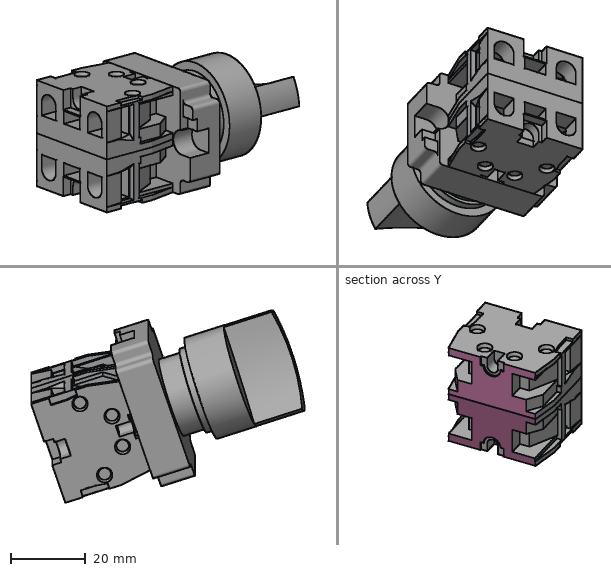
import cadquery as cq
import math


flange_depth = 10.45
neck_end = 16.6
washer_end = 18.8
collar_end = 29.95
handle_tip = 44.85
neck_radius = 10.8
washer_radius = 11.85
collar_radius = 14.3

flange_width = 40.0
flange_height = 30.0
flange_middle_width = 32.0
ear_height = 21.2
flange_fillet = 1.05

ear_slot_radius = 3.45
ear_slot_depth = 6.5
ear_slot_center = 16.55
latch_deep = 2.5
latch_shallow = 1.0
latch_split = 7.0

handle_setback = 0.1
handle_radius = collar_radius - handle_setback
handle_half_thickness = 4.1
handle_hollow = 1.5
handle_crown = 1.5
handle_turn = 17.5

block_offset = -0.2
block_width = 29.1
block_height = flange_height / 2
block_length = 24.45
block_taper_width = 26.1
block_taper_length = 8.6
half_width = block_width / 2
overcut = 0.7

pocket_length = 13.0
pocket_floor = 1.8
pocket_ledge = 5.55
pocket_roof = 12.5
pocket_bend = 4.65
core_inset = 1.25
lower_inset = 4.45
upper_inset = 5.4
upper_deep_inset = 8.3
pocket_lip_height = 1.9
pocket_lip_depth = 0.4
side_roof = 13.5

window_start = 15.05
window_frame = 0.4
window_end = 18.9
window_floor = 4.7
window_roof = 13.0
window_inset = 1.6
rear_inset = 0.55
window_ramp_drop = 1.4
window_ramp_length = 5.35

edge_notch_depth = 0.8
edge_notch_start = 12.0
edge_notch_end = 19.5
edge_notch_front = 1.6
edge_notch_rear = 2.0

wire_spacing = 19.0
wire_radius = 3.0
wire_center = 9.1
wire_floor = 5.55
slot_width = 6.5
slot_height = 3.6

notch_width = 6.9
notch_floor = 9.5
notch_length = 2.55
channel_radius = 2.5
channel_center = 12.4
flange_notch_length = 0.8
flange_channel_radius = 1.6
flange_channel_length = 4.85

screw_top_radius = 2.1
screw_bottom_radius = 1.65
screw_depth = 1.1
screw_front = (4.5, -4.9)
screw_rear = (10.45, -12.0)


def box(x_range, y_range, z_range):
    """Box between two X, two Y and two Z values."""
    size = [high - low for low, high in (x_range, y_range, z_range)]
    corner = (x_range[0], y_range[0], z_range[0])
    return cq.Workplane("XY").box(*size, centered=False).translate(corner)


def prism(outline, bottom, top):
    """Prism over an XY outline between two heights."""
    return cq.Workplane("XY").workplane(offset=bottom).polyline(outline).close().extrude(top - bottom)


def disc(radius, start, end):
    """Cylinder along Y between two Y values."""
    return cq.Workplane("XZ", origin=(0, start, 0)).circle(radius).extrude(start - end)


def make_flange():
    half_ear = flange_width / 2
    half_middle = flange_middle_width / 2
    middle = box((-half_middle, half_middle), (0, flange_depth), (-flange_height / 2, flange_height / 2))
    ears = box((-half_ear, half_ear), (0, flange_depth), (-ear_height / 2, ear_height / 2))
    flange = middle.union(ears).edges("|Y").fillet(flange_fillet)

    slot = disc(ear_slot_radius, 0, ear_slot_depth).translate((-ear_slot_center, 0, 0))
    slot = slot.union(
        box((-half_ear, -ear_slot_center), (0, ear_slot_depth), (-ear_slot_radius, ear_slot_radius))
    )
    latch = box((-half_ear, -half_middle), (0, latch_deep), (-latch_split, -ear_slot_radius))
    latch = latch.union(
        box((-half_ear, -half_middle), (0, latch_shallow), (-ear_height / 2 - flange_fillet, -latch_split))
    )
    ear_cut = slot.union(latch)
    for turn in (0, 180):
        flange = flange.cut(ear_cut.rotate((0, 0, 0), (0, 1, 0), turn))
    return flange


def make_handle():
    half_chord = math.sqrt(handle_radius**2 - handle_half_thickness**2)
    waist = handle_half_thickness - handle_hollow
    bar = (
        cq.Workplane("XZ", origin=(0, collar_end, 0))
        .moveTo(-half_chord, handle_half_thickness)
        .threePointArc((0, waist), (half_chord, handle_half_thickness))
        .threePointArc((handle_radius, 0), (half_chord, -handle_half_thickness))
        .threePointArc((0, -waist), (-half_chord, -handle_half_thickness))
        .threePointArc((-handle_radius, 0), (-half_chord, handle_half_thickness))
        .close()
        .extrude(collar_end - handle_tip)
    )
    edge = handle_tip - handle_crown
    crown = (
        cq.Workplane("XY")
        .moveTo(-handle_radius, collar_end)
        .lineTo(-handle_radius, edge)
        .threePointArc((0, handle_tip), (handle_radius, edge))
        .lineTo(handle_radius, collar_end)
        .close()
        .extrude(handle_half_thickness, both=True)
    )
    return bar.intersect(crown).rotate((0, 0, 0), (0, 1, 0), -handle_turn)


def make_head():
    return (
        make_flange()
        .union(disc(neck_radius, flange_depth, neck_end))
        .union(disc(washer_radius, neck_end, washer_end))
        .union(disc(collar_radius, washer_end, collar_end))
        .union(make_handle())
    )


def make_block_body():
    half_taper = block_taper_width / 2
    outline = [
        (-half_taper, 0),
        (half_taper, 0),
        (half_width, -block_taper_length),
        (half_width, -block_length),
        (-half_width, -block_length),
        (-half_width, -block_taper_length),
    ]
    return prism(outline, 0, block_height)


def make_pocket():
    """Pocket in the -X side, next to the flange."""
    outside = -half_width - overcut
    core = -half_width + core_inset
    lower = [
        (outside, 0),
        (-half_width + lower_inset, 0),
        (core, -pocket_bend),
        (core, -pocket_length),
        (outside, -pocket_length),
    ]
    upper = [
        (outside, 0),
        (-half_width + upper_deep_inset, 0),
        (-half_width + upper_deep_inset, -pocket_bend),
        (-half_width + upper_inset, -pocket_bend),
        (core, -pocket_length),
        (outside, -pocket_length),
    ]
    roof_step = box((outside, -block_taper_width / 2), (-pocket_length, 0), (pocket_roof, side_roof))
    lip = box(
        (outside, core),
        (-pocket_length, -pocket_length + pocket_lip_depth),
        (pocket_floor, pocket_floor + pocket_lip_height),
    )
    pocket = prism(lower, pocket_floor, pocket_ledge).cut(lip)
    return pocket.union(prism(upper, pocket_ledge, pocket_roof)).union(roof_step)


def make_window_recess():
    """Recess around the -X end of the window, with a slanted wall behind it."""
    outline = [
        (-half_width, -window_start),
        (-half_width + window_inset, -window_start),
        (-half_width + window_inset, -window_end),
        (-half_width + rear_inset, -window_end),
        (-half_width, -block_length),
    ]
    return prism(outline, window_floor, side_roof)


def make_window_ramp():
    """Three-sided bevel below the -X window recess."""
    inner = (-half_width + window_inset, -window_start, window_floor)
    start = (-half_width, -window_start, window_floor)
    end = (-half_width, -window_start - window_ramp_length, window_floor)
    bottom = (-half_width, -window_start, window_floor - window_ramp_drop)
    triangles = [(start, end, inner), (start, end, bottom), (start, inner, bottom), (end, inner, bottom)]
    faces = [
        cq.Face.makeFromWires(cq.Wire.makePolygon([cq.Vector(*point) for point in corners], close=True))
        for corners in triangles
    ]
    return cq.Workplane(obj=cq.Solid.makeSolid(cq.Shell.makeShell(faces)))


def make_edge_notch():
    """Shallow notch in the top edge of the -X side."""
    outline = [
        (-half_width, -edge_notch_start),
        (-half_width + edge_notch_front, -edge_notch_start),
        (-half_width + edge_notch_rear, -window_start),
        (-half_width + edge_notch_rear, -edge_notch_end),
        (-half_width, -edge_notch_end),
    ]
    return prism(outline, block_height - edge_notch_depth, block_height)


def make_wire_hole():
    """Round-topped hole from the rear face into the window."""
    return (
        cq.Workplane("XZ", origin=(0, -window_end, 0))
        .moveTo(-wire_radius, wire_floor)
        .lineTo(wire_radius, wire_floor)
        .lineTo(wire_radius, wire_center)
        .threePointArc((0, wire_center + wire_radius), (-wire_radius, wire_center))
        .close()
        .extrude(block_length - window_end)
    )


def make_channel(radius, start, end):
    """Round-bottomed channel, open at the top, between two Y distances."""
    groove = disc(radius, -end, -start).translate((0, 0, channel_center))
    return groove.union(box((-radius, radius), (-end, -start), (channel_center, block_height)))


def cut_rear_openings(block):
    rear = (-block_length, -window_end)
    for side in (-1, 1):
        block = block.cut(make_wire_hole().translate((side * wire_spacing / 2, 0, 0)))
    half_slot = slot_width / 2
    return block.cut(box((-half_slot, half_slot), rear, (wire_floor, wire_floor + slot_height)))


def cut_top_recesses(block):
    half_notch = notch_width / 2
    across = (-half_notch, half_notch)
    notch = box(across, (-block_length, notch_length - block_length), (notch_floor, block_height))
    flange_notch = box(across, (-flange_notch_length, 0), (channel_center, block_height))
    return (
        block.cut(notch)
        .cut(make_channel(channel_radius, window_end, block_length - notch_length))
        .cut(flange_notch)
        .cut(make_channel(channel_radius, 0, flange_notch_length))
        .cut(make_channel(flange_channel_radius, 0, flange_channel_length))
    )


def cut_screw_holes(block):
    bottom = block_height - screw_depth
    for x, y in (screw_front, screw_rear):
        for side in (-1, 1):
            hole = cq.Solid.makeCone(
                screw_bottom_radius, screw_top_radius, screw_depth, pnt=cq.Vector(side * x, y, bottom)
            )
            block = block.cut(cq.Workplane(obj=hole))
    return block


def make_upper_block():
    block = make_block_body()
    for side_cut in (make_pocket(), make_window_recess(), make_window_ramp(), make_edge_notch()):
        block = block.cut(side_cut).cut(side_cut.mirror("YZ"))
    window = box(
        (-half_width, half_width),
        (-window_end, -window_start - window_frame),
        (window_floor, window_roof),
    )
    block = block.cut(window)
    block = cut_rear_openings(block)
    block = cut_top_recesses(block)
    block = cut_screw_holes(block)
    return block.translate((block_offset, 0, 0))


head = make_head()
upper_block = make_upper_block()
contact_blocks = [upper_block if level > 0 else upper_block.mirror("XY") for level in (1, -1)]

result = cq.Compound.makeCompound([head.solids().val(), *[block.solids().val() for block in contact_blocks]])